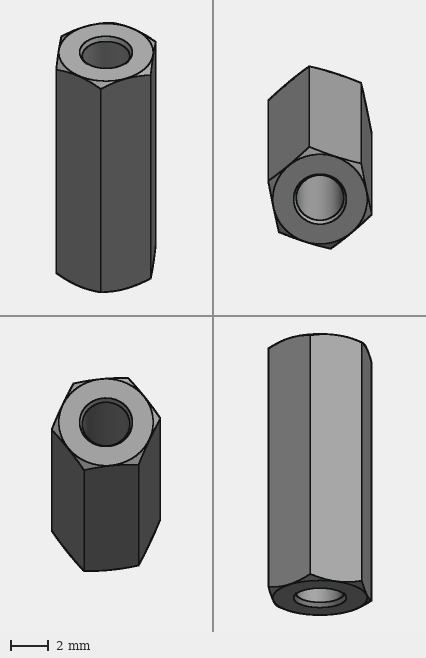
import cadquery as cq
import math

hex_sides = 6
length = 14.0
across_flats = 5.01
end_face_diameter = 4.98
bore_diameter = 2.5
countersink_diameter = 2.79
end_chamfer_angle = 30.0
countersink_angle = 60.0

across_corners = across_flats / math.cos(math.radians(180 / hex_sides))
corner_overhang = (across_corners - end_face_diameter) / 2
chamfer_drop = corner_overhang * math.tan(math.radians(end_chamfer_angle))
countersink_step = (countersink_diameter - bore_diameter) / 2
countersink_depth = countersink_step / math.tan(math.radians(countersink_angle / 2))


def hex_bar():
    """Upright hexagonal bar with two corners on the X axis."""
    return cq.Workplane("XY").polygon(hex_sides, across_corners).extrude(length)


def corner_envelope():
    """Cylinder through the corners, coned at both ends down to the round end faces."""
    cylinder = cq.Workplane("XY").circle(across_corners / 2).extrude(length)
    return cylinder.faces("<Z or >Z").chamfer(chamfer_drop, corner_overhang)


def countersunk_bore():
    """Through bore with a conical countersink at each end."""
    profile = (
        cq.Workplane("XZ")
        .lineTo(countersink_diameter / 2, 0)
        .lineTo(bore_diameter / 2, countersink_depth)
        .lineTo(bore_diameter / 2, length - countersink_depth)
        .lineTo(countersink_diameter / 2, length)
        .lineTo(0, length)
        .close()
    )
    return profile.revolve(360, (0, 0), (0, 1))


result = hex_bar().intersect(corner_envelope()).cut(countersunk_bore())